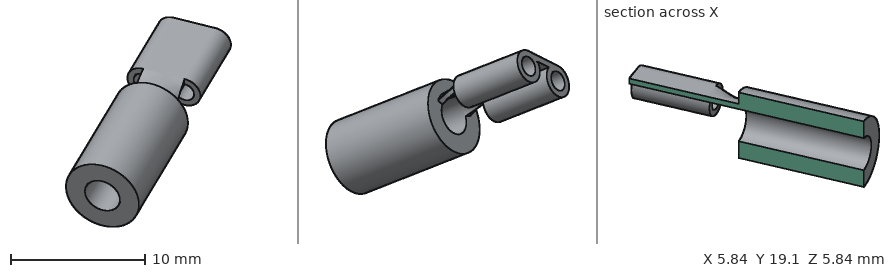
import cadquery as cq
import math

barrel_radius = 2.92
barrel_length = 10.16
bore_radius = 1.397

sheet_thickness = 0.508
sheet_bottom = bore_radius
sheet_top = sheet_bottom + sheet_thickness

neck_length = 2.54
arch_end_angle = math.radians(20.7)

curl_length = 6.35
curl_radius = 1.27
curl_hole_radius = curl_radius - sheet_thickness
curl_offset = barrel_radius - curl_radius
curl_height = sheet_top - curl_radius

neck_start = barrel_length
curl_start = neck_start + neck_length


def section_at(y):
    """Workplane across the part at the given Y, with local X, Y along global X, Z."""
    plane = cq.Plane(origin=(0, y, 0), xDir=(1, 0, 0), normal=(0, -1, 0))
    return cq.Workplane(plane)


def polar(radius, angle):
    return (radius * math.cos(angle), radius * math.sin(angle))


def mirrored(point):
    return (-point[0], point[1])


def make_barrel():
    return section_at(0).circle(barrel_radius).circle(bore_radius).extrude(-barrel_length)


def arch_wire(y):
    """Ring segment over the bore, split at its crown."""
    middle_angle = (arch_end_angle + math.pi / 2) / 2
    outer_end = polar(sheet_top, arch_end_angle)
    outer_middle = polar(sheet_top, middle_angle)
    inner_end = polar(sheet_bottom, arch_end_angle)
    inner_middle = polar(sheet_bottom, middle_angle)
    return (
        section_at(y)
        .moveTo(*mirrored(outer_end))
        .threePointArc(mirrored(outer_middle), (0, sheet_top))
        .threePointArc(outer_middle, outer_end)
        .lineTo(*inner_end)
        .threePointArc(inner_middle, (0, sheet_bottom))
        .threePointArc(mirrored(inner_middle), mirrored(inner_end))
        .close()
        .val()
    )


def flat_wire(y):
    """Flat sheet section, split at its centre to match the arch."""
    return (
        section_at(y)
        .moveTo(-curl_offset, sheet_top)
        .lineTo(0, sheet_top)
        .lineTo(curl_offset, sheet_top)
        .lineTo(curl_offset, sheet_bottom)
        .lineTo(0, sheet_bottom)
        .lineTo(-curl_offset, sheet_bottom)
        .close()
        .val()
    )


def make_neck():
    sections = [arch_wire(neck_start), flat_wire(curl_start)]
    return cq.Workplane(cq.Solid.makeLoft(sections, True))


def make_curled_end():
    curl_centers = [(-curl_offset, curl_height), (curl_offset, curl_height)]
    tubes = section_at(curl_start).pushPoints(curl_centers).circle(curl_radius).extrude(-curl_length)
    sheet = (
        section_at(curl_start)
        .center(0, (sheet_top + sheet_bottom) / 2)
        .rect(2 * curl_offset, sheet_thickness)
        .extrude(-curl_length)
    )
    holes = section_at(curl_start).pushPoints(curl_centers).circle(curl_hole_radius).extrude(-curl_length)
    return tubes.union(sheet).cut(holes)


result = make_barrel().union(make_neck()).union(make_curled_end())